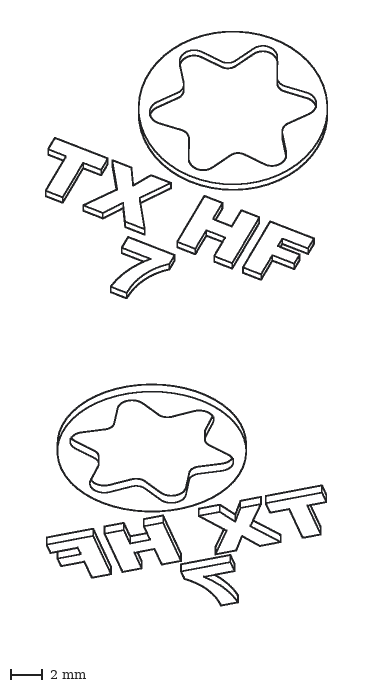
import cadquery as cq
import math

thickness = 0.6
row_gap = 1.0
letter_height = 4.0

ring_radius = 6.0
lobe_count = 6
lobe_tip_radius = 5.3
lobe_round = 0.92
valley_radius = 3.54
valley_round = 0.75

letters_top = -ring_radius - row_gap
letters_bottom = letters_top - letter_height
digit_top = letters_bottom - row_gap
digit_bottom = digit_top - letter_height

t_left = -9.19
t_width = 3.74
t_stem_width = 1.21
t_bar_height = 1.0

x_top_ends = (-5.15, -3.79, -2.42, -1.01)
x_bottom_ends = (-5.28, -3.88, -2.32, -0.93)
x_waist_left = -3.87
x_waist_right = -2.29
x_waist_depth = 1.93
x_notch_middle = -3.08
x_upper_notch_depth = 1.22
x_lower_notch_depth = 2.73

h_left = 1.34
h_width = 3.88
h_stem_width = 1.28
h_bar_top_depth = 1.4
h_bar_height = 0.98

f_left = 5.97
f_stem_width = 1.28
f_top_arm_length = 3.09
f_top_arm_height = 0.88
f_middle_arm_length = 2.82
f_middle_arm_depth = 1.53
f_middle_arm_height = 0.8

seven_left = -1.63
seven_width = 3.28
seven_bar_height = 0.94
seven_bar_inner_end = 0.4
seven_right_side_height = 0.78
seven_foot_left = -0.95
seven_foot_right = 0.19
seven_inner_bow = (-0.53, 2.4)
seven_outer_bow = (0.69, 1.96)


def polar(radius, angle):
    return (radius * math.cos(angle), radius * math.sin(angle))


def lobe_opening():
    """Closed outline of lobe arcs and valley arcs joined by common tangent lines."""
    half_pitch = math.pi / lobe_count
    lobe_centre = lobe_tip_radius - lobe_round
    valley_centre = valley_radius + valley_round

    valley_x, valley_y = polar(valley_centre, half_pitch)
    centre_distance = math.hypot(valley_x - lobe_centre, valley_y)
    centre_direction = math.atan2(valley_y, valley_x - lobe_centre)
    normal = centre_direction - math.acos((lobe_round + valley_round) / centre_distance)
    normal_x, normal_y = polar(1, normal)
    lobe_end = (lobe_centre + lobe_round * normal_x, lobe_round * normal_y)
    valley_start = (valley_x - valley_round * normal_x, valley_y - valley_round * normal_y)

    def turned(point, axis):
        return polar(math.hypot(*point), axis + math.atan2(point[1], point[0]))

    def mirrored(point):
        return (point[0], -point[1])

    first_axis = math.pi / 2
    outline = cq.Workplane("XY").moveTo(*turned(mirrored(lobe_end), first_axis))
    for index in range(lobe_count):
        axis = first_axis + 2 * half_pitch * index
        next_axis = axis + 2 * half_pitch
        outline = outline.threePointArc(polar(lobe_tip_radius, axis), turned(lobe_end, axis))
        outline = outline.lineTo(*turned(valley_start, axis))
        outline = outline.threePointArc(
            polar(valley_radius, axis + half_pitch), turned(mirrored(valley_start), next_axis)
        )
        if index < lobe_count - 1:
            outline = outline.lineTo(*turned(mirrored(lobe_end), next_axis))
    return outline.close()


def make_ring():
    disc = cq.Workplane("XY").circle(ring_radius).extrude(thickness)
    return disc.cut(lobe_opening().extrude(thickness))


def plate(points):
    return cq.Workplane("XY").polyline(points).close().extrude(thickness)


def make_letter_t():
    right = t_left + t_width
    stem_left = t_left + (t_width - t_stem_width) / 2
    stem_right = stem_left + t_stem_width
    bar_bottom = letters_top - t_bar_height
    return plate([
        (t_left, letters_top),
        (right, letters_top),
        (right, bar_bottom),
        (stem_right, bar_bottom),
        (stem_right, letters_bottom),
        (stem_left, letters_bottom),
        (stem_left, bar_bottom),
        (t_left, bar_bottom),
    ])


def make_letter_x():
    waist = letters_top - x_waist_depth
    top = [(x, letters_top) for x in x_top_ends]
    bottom = [(x, letters_bottom) for x in reversed(x_bottom_ends)]
    upper_notch = (x_notch_middle, letters_top - x_upper_notch_depth)
    lower_notch = (x_notch_middle, letters_top - x_lower_notch_depth)
    return plate([
        *top[:2],
        upper_notch,
        *top[2:],
        (x_waist_right, waist),
        *bottom[:2],
        lower_notch,
        *bottom[2:],
        (x_waist_left, waist),
    ])


def make_letter_h():
    right = h_left + h_width
    inner_left = h_left + h_stem_width
    inner_right = right - h_stem_width
    bar_top = letters_top - h_bar_top_depth
    bar_bottom = bar_top - h_bar_height
    return plate([
        (h_left, letters_top),
        (inner_left, letters_top),
        (inner_left, bar_top),
        (inner_right, bar_top),
        (inner_right, letters_top),
        (right, letters_top),
        (right, letters_bottom),
        (inner_right, letters_bottom),
        (inner_right, bar_bottom),
        (inner_left, bar_bottom),
        (inner_left, letters_bottom),
        (h_left, letters_bottom),
    ])


def make_letter_f():
    stem_right = f_left + f_stem_width
    top_arm_end = f_left + f_top_arm_length
    middle_arm_end = f_left + f_middle_arm_length
    top_arm_bottom = letters_top - f_top_arm_height
    middle_arm_top = letters_top - f_middle_arm_depth
    middle_arm_bottom = middle_arm_top - f_middle_arm_height
    return plate([
        (f_left, letters_top),
        (top_arm_end, letters_top),
        (top_arm_end, top_arm_bottom),
        (stem_right, top_arm_bottom),
        (stem_right, middle_arm_top),
        (middle_arm_end, middle_arm_top),
        (middle_arm_end, middle_arm_bottom),
        (stem_right, middle_arm_bottom),
        (stem_right, letters_bottom),
        (f_left, letters_bottom),
    ])


def make_digit_seven():
    right = seven_left + seven_width
    bar_bottom = digit_top - seven_bar_height
    inner_x, inner_depth = seven_inner_bow
    outer_x, outer_depth = seven_outer_bow
    return (
        cq.Workplane("XY")
        .moveTo(seven_left, digit_top)
        .lineTo(right, digit_top)
        .lineTo(right, digit_top - seven_right_side_height)
        .threePointArc((outer_x, digit_top - outer_depth), (seven_foot_right, digit_bottom))
        .lineTo(seven_foot_left, digit_bottom)
        .threePointArc((inner_x, digit_top - inner_depth), (seven_bar_inner_end, bar_bottom))
        .lineTo(seven_left, bar_bottom)
        .close()
        .extrude(thickness)
    )


ring = make_ring()
letter_t = make_letter_t()
letter_x = make_letter_x()
letter_h = make_letter_h()
letter_f = make_letter_f()
digit_seven = make_digit_seven()

result = cq.Compound.makeCompound([
    ring.val(),
    letter_t.val(),
    letter_x.val(),
    letter_h.val(),
    letter_f.val(),
    digit_seven.val(),
])